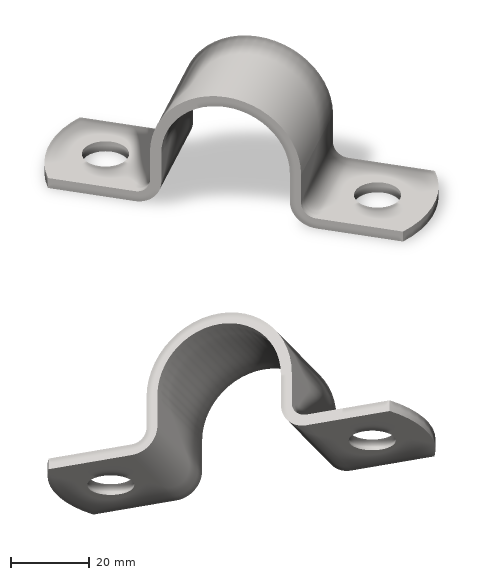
import cadquery as cq
import math

length = 102.0
width = 30.0
height = 35.5
thickness = 3.0
arch_radius = 20.0
bend_inner_radius = 4.0
foot_end_radius = 30.0
hole_diameter = 12.0
hole_spacing = 72.0

half_length = length / 2
half_width = width / 2
bore_radius = arch_radius - thickness
bend_outer_radius = bend_inner_radius + thickness
arch_center_z = height - arch_radius
bend_center_x = arch_radius + bend_inner_radius
bend_center_z = bend_outer_radius
foot_end_center_x = half_length - foot_end_radius
foot_corner_x = foot_end_center_x + math.sqrt(foot_end_radius**2 - half_width**2)


def bend_middle(side, radius):
    """Mid-point of a bend arc; side is -1 for the left bend, +1 for the right."""
    offset = radius * math.sqrt(0.5)
    return (side * (bend_center_x - offset), bend_center_z - offset)


def make_strip():
    """Bent strip with square ends, extruded symmetrically about the XZ plane."""
    return (
        cq.Workplane("XZ")
        .moveTo(-half_length, 0)
        .lineTo(-bend_center_x, 0)
        .threePointArc(bend_middle(-1, bend_outer_radius), (-bore_radius, bend_center_z))
        .lineTo(-bore_radius, arch_center_z)
        .threePointArc((0, arch_center_z + bore_radius), (bore_radius, arch_center_z))
        .lineTo(bore_radius, bend_center_z)
        .threePointArc(bend_middle(1, bend_outer_radius), (bend_center_x, 0))
        .lineTo(half_length, 0)
        .lineTo(half_length, thickness)
        .lineTo(bend_center_x, thickness)
        .threePointArc(bend_middle(1, bend_inner_radius), (arch_radius, bend_center_z))
        .lineTo(arch_radius, arch_center_z)
        .threePointArc((0, height), (-arch_radius, arch_center_z))
        .lineTo(-arch_radius, bend_center_z)
        .threePointArc(bend_middle(-1, bend_inner_radius), (-bend_center_x, thickness))
        .lineTo(-half_length, thickness)
        .close()
        .extrude(half_width, both=True)
    )


def make_plan_envelope():
    """Plan outline with rounded ends, as tall as the part."""
    return (
        cq.Workplane("XY")
        .moveTo(-foot_corner_x, -half_width)
        .lineTo(foot_corner_x, -half_width)
        .threePointArc((half_length, 0), (foot_corner_x, half_width))
        .lineTo(-foot_corner_x, half_width)
        .threePointArc((-half_length, 0), (-foot_corner_x, -half_width))
        .close()
        .extrude(height)
    )


def make_foot_holes():
    """Cutters for the fixing hole through each foot."""
    return (
        cq.Workplane("XY")
        .pushPoints([(side * hole_spacing / 2, 0) for side in (-1, 1)])
        .circle(hole_diameter / 2)
        .extrude(thickness)
    )


result = make_strip().intersect(make_plan_envelope()).cut(make_foot_holes())